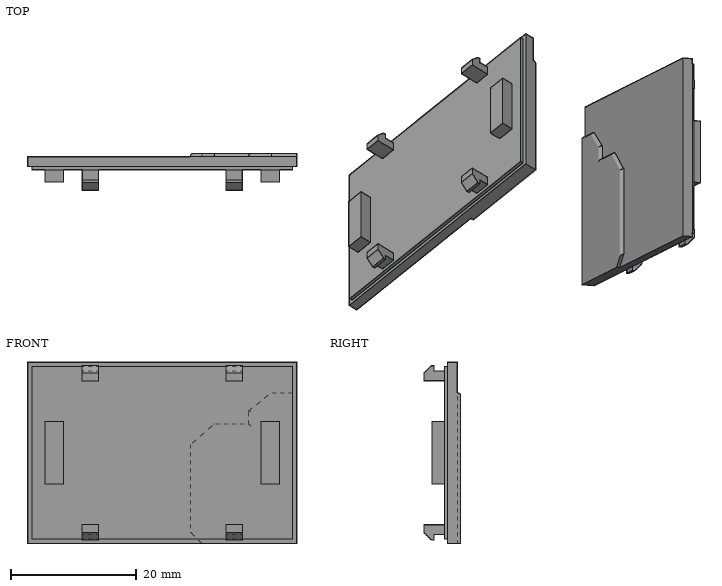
import cadquery as cq

length = 43.0
height = 29.0
plate_thickness = 1.6
ledge_inset = 0.7
ledge_thickness = 0.5
ledge_front = -ledge_thickness

pad_width = 3.0
pad_height = 10.0
pad_depth = 1.98
pad_offset = 17.25

hook_width = 2.65
hook_offset = 11.5
hook_reach = 3.25
hook_neck = 1.65
hook_tip_flat = 0.45
hook_edge_gap = 0.55
hook_catch = 0.85
hook_arm = 1.6

panel_thickness = 0.5
panel_edge_radius = 0.47
panel_left = 4.47
panel_shoulder_x = 8.3
panel_step_x = 13.8
panel_peak_x = 17.4
panel_top = 9.6
panel_step_bevel_z = 6.7
panel_shoulder_z = 4.6
panel_left_bevel_z = 1.25
panel_lower_z = -12.65
margin = 0.05


def front_block(width, block_height, depth, x, y):
    """Block centred on Z = 0, growing toward -Y from the given Y."""
    return cq.Workplane("XY").box(width, depth, block_height).translate((x, y - depth / 2, 0))


def make_hook(x, side):
    """Hook whose catch points toward the upper (+1) or lower (-1) edge."""
    tip_z = height / 2 - hook_edge_gap
    arm_outer_z = tip_z - hook_catch
    arm_inner_z = arm_outer_z - hook_arm
    catch_y = ledge_front - hook_neck
    end_y = ledge_front - hook_reach
    bevel = hook_reach - hook_neck - hook_tip_flat
    profile = [
        (0, arm_inner_z),
        (0, arm_outer_z),
        (catch_y, arm_outer_z),
        (catch_y, tip_z),
        (catch_y - hook_tip_flat, tip_z),
        (end_y, tip_z - bevel),
        (end_y, arm_inner_z),
    ]
    outline = [(y, side * z) for y, z in profile]
    return (
        cq.Workplane("YZ", origin=(x, 0, 0))
        .polyline(outline).close()
        .extrude(hook_width / 2, both=True)
    )


def make_panel():
    """Stepped panel with rounded free edges, flush with two plate sides."""
    right = length / 2
    bottom = -height / 2
    lower_bevel = panel_lower_z - bottom
    outline = [
        (right, bottom),
        (right, panel_top),
        (panel_peak_x, panel_top),
        (panel_step_x, panel_step_bevel_z),
        (panel_step_x, panel_shoulder_z),
        (panel_shoulder_x, panel_shoulder_z),
        (panel_left, panel_left_bevel_z),
        (panel_left, panel_lower_z),
        (panel_left + lower_bevel, bottom),
    ]
    panel = (
        cq.Workplane("XZ", origin=(0, plate_thickness, 0))
        .polyline(outline).close()
        .extrude(-panel_thickness)
    )
    back = plate_thickness + panel_thickness
    right_side = cq.selectors.BoxSelector(
        (right - margin, 0, bottom - margin),
        (right + margin, back + margin, panel_top + margin),
        boundingbox=True,
    )
    lower_side = cq.selectors.BoxSelector(
        (0, 0, bottom - margin),
        (right + margin, back + margin, panel_lower_z + margin),
        boundingbox=True,
    )
    flush_edges = right_side + lower_side
    free_edges = cq.selectors.StringSyntaxSelector(">Y") - flush_edges
    return panel.edges(free_edges).fillet(panel_edge_radius)


result = front_block(length, height, plate_thickness, 0, plate_thickness)
result = result.union(
    front_block(length - 2 * ledge_inset, height - 2 * ledge_inset, ledge_thickness, 0, 0)
)

for end in (-1, 1):
    result = result.union(front_block(pad_width, pad_height, pad_depth, end * pad_offset, ledge_front))
    for side in (-1, 1):
        result = result.union(make_hook(end * hook_offset, side))

result = result.union(make_panel())